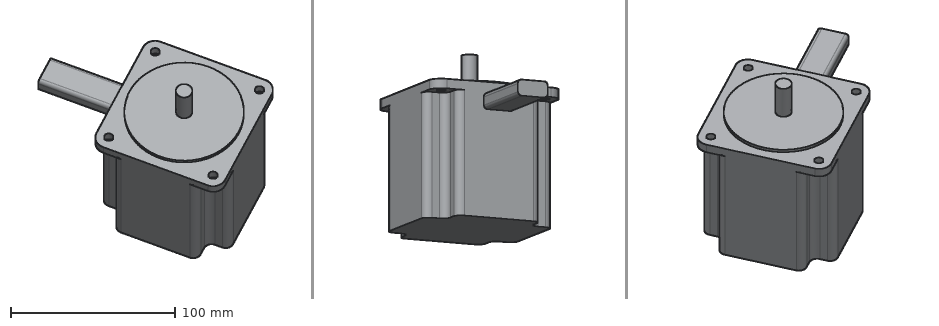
import cadquery as cq

total_length = 136.0
total_height = 108.0
frame_width = 86.0

flange_thickness = 6.0
flange_corner_radius = 8.0
hole_spacing = 69.6
hole_diameter = 5.6
pilot_diameter = 73.0
pilot_height = 2.0

shaft_diameter = 10.0
shaft_length = 22.0

notch_depth = 15.0
notch_fillet = 5.0

cable_width = 20.0
cable_height = 10.0
cable_corner_radius = 2.5
cable_gap = 0.8

body_height = total_height - shaft_length - pilot_height - flange_thickness
flange_top = body_height + flange_thickness
cable_length = total_length - frame_width
cable_center_z = body_height - cable_gap - cable_height / 2


def make_body():
    """Square column whose corner notches are rounded inside and out."""
    arm_width = frame_width - 2 * notch_depth
    lengthwise = cq.Workplane("XY").box(
        frame_width, arm_width, body_height, centered=(True, True, False)
    )
    crosswise = cq.Workplane("XY").box(
        arm_width, frame_width, body_height, centered=(True, True, False)
    )
    return lengthwise.union(crosswise).edges("|Z").fillet(notch_fillet)


def make_flange():
    """Rounded square plate with four mounting holes."""
    return (
        cq.Workplane("XY")
        .workplane(offset=body_height)
        .rect(frame_width, frame_width)
        .extrude(flange_thickness)
        .edges("|Z")
        .fillet(flange_corner_radius)
        .faces(">Z")
        .workplane()
        .rect(hole_spacing, hole_spacing, forConstruction=True)
        .vertices()
        .hole(hole_diameter)
    )


def make_disc(diameter, height, base_z):
    """Upright cylinder on the shaft axis."""
    return cq.Workplane("XY").workplane(offset=base_z).circle(diameter / 2).extrude(height)


def make_cable():
    """Rounded bar running outward from the -X face."""
    return (
        cq.Workplane("YZ", origin=(-frame_width / 2, 0, cable_center_z))
        .rect(cable_width, cable_height)
        .extrude(-cable_length)
        .edges("|X")
        .fillet(cable_corner_radius)
    )


pilot = make_disc(pilot_diameter, pilot_height, flange_top)
shaft = make_disc(shaft_diameter, shaft_length, flange_top + pilot_height)

result = make_body().union(make_flange()).union(pilot).union(shaft).union(make_cable())